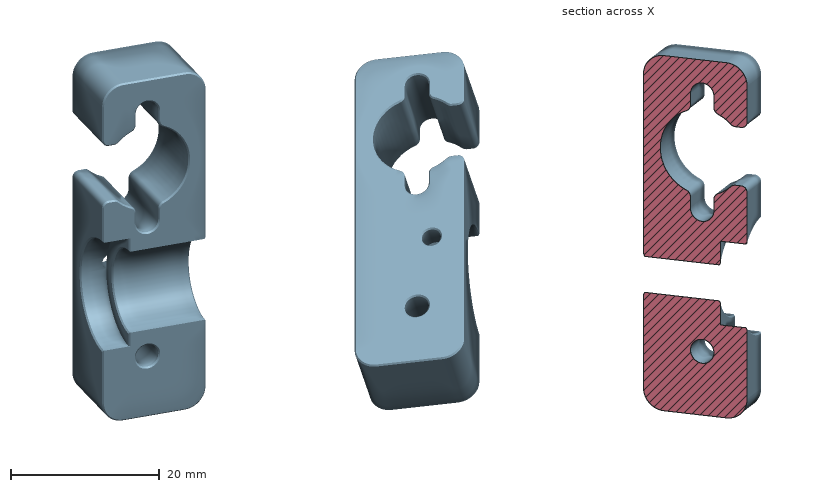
import cadquery as cq
import math

THICKNESS = 10.9
WIDTH = 15.0
HEIGHT = 50.0
CORNER_RADIUS = 3.0
EDGE_CHAMFER = 0.2

LEFT_FACE = -THICKNESS / 2
RIGHT_FACE = THICKNESS / 2
FRONT_FACE = -WIDTH / 2

CLIP_Y = -1.0
CLIP_Z = 37.0
CLIP_RADIUS = 6.0
MOUTH_WIDTH = 8.15
SLOT_WIDTH = 3.3
SLOT_TIP_SPAN = 19.4
LIP_RADIUS = 0.9
MOUTH_CORNER_RADIUS = 1.0
SLOT_EDGE_RADIUS = 1.0

BORE_Z = 18.9
BORE_RADIUS = 6.0
COUNTERBORE_RADIUS = 8.0
COUNTERBORE_DEPTH = 3.8

THROUGH_HOLE_Y = CLIP_Y
THROUGH_HOLE_Z = 9.0
THROUGH_HOLE_DIAMETER = 3.3
SIDE_HOLE_Y = -3.0
SIDE_HOLE_Z = 20.0
SIDE_HOLE_DIAMETER = 2.6


def x_cylinder(radius, y, z):
    """Cylinder along X that spans the block's thickness."""
    return cq.Workplane("YZ", origin=(LEFT_FACE, y, z)).circle(radius).extrude(THICKNESS)


def bore_cylinder(radius, depth):
    """Cylinder along Y that starts on the -Y face, centred on the +X face."""
    plane = cq.Plane(origin=(RIGHT_FACE, FRONT_FACE, BORE_Z), xDir=(1, 0, 0), normal=(0, 1, 0))
    return cq.Workplane(plane).circle(radius).extrude(depth)


def fillet_clip_edges(body, y, half_height, radius):
    """Round the X-parallel edges at the given Y, the same distance above and below the clip axis."""
    reach = 0.1
    for z in (CLIP_Z - half_height, CLIP_Z + half_height):
        window = cq.selectors.BoxSelector(
            (LEFT_FACE, y - reach, z - reach), (RIGHT_FACE, y + reach, z + reach)
        )
        body = body.edges(window).fillet(radius)
    return body


def make_block():
    block = cq.Workplane("XY").box(THICKNESS, WIDTH, HEIGHT, centered=(True, True, False))
    return block.edges("|X").fillet(CORNER_RADIUS)


def make_clip_opening():
    """Round opening with a slot above and below it and a mouth through the -Y face."""
    plane = cq.Workplane("YZ", origin=(LEFT_FACE, CLIP_Y, CLIP_Z))
    upright = 90
    slots = plane.slot2D(SLOT_TIP_SPAN, SLOT_WIDTH, upright).extrude(THICKNESS)
    mouth_length = CLIP_Y - FRONT_FACE
    mouth = plane.center(-mouth_length / 2, 0).rect(mouth_length, MOUTH_WIDTH).extrude(THICKNESS)
    return x_cylinder(CLIP_RADIUS, CLIP_Y, CLIP_Z).union(slots).union(mouth)


def round_clip_edges(body):
    half_mouth = MOUTH_WIDTH / 2
    mouth_corner_y = CLIP_Y - math.sqrt(CLIP_RADIUS**2 - half_mouth**2)
    body = fillet_clip_edges(body, FRONT_FACE, half_mouth, LIP_RADIUS)
    body = fillet_clip_edges(body, mouth_corner_y, half_mouth, MOUTH_CORNER_RADIUS)
    half_slot = SLOT_WIDTH / 2
    slot_corner_height = math.sqrt(CLIP_RADIUS**2 - half_slot**2)
    for y in (CLIP_Y - half_slot, CLIP_Y + half_slot):
        body = fillet_clip_edges(body, y, slot_corner_height, SLOT_EDGE_RADIUS)
    return body


def make_half_bore():
    bore = bore_cylinder(BORE_RADIUS, WIDTH)
    return bore.union(bore_cylinder(COUNTERBORE_RADIUS, COUNTERBORE_DEPTH))


def make_side_hole():
    """Hole from the -X face that ends on the counterbore's cylinder, extended along Y."""
    hole = x_cylinder(SIDE_HOLE_DIAMETER / 2, SIDE_HOLE_Y, SIDE_HOLE_Z)
    return hole.cut(bore_cylinder(COUNTERBORE_RADIUS, WIDTH))


def chamfer_bore_rims(body):
    """Bevel the bore's mouths on both Y faces and the exposed rim of the counterbore's floor."""
    land_y = FRONT_FACE + COUNTERBORE_DEPTH
    land_reach_x = (BORE_RADIUS + COUNTERBORE_RADIUS) / 2
    land_reach_z = COUNTERBORE_RADIUS + EDGE_CHAMFER
    land_rim = cq.selectors.BoxSelector(
        (RIGHT_FACE - land_reach_x, land_y - EDGE_CHAMFER, BORE_Z - land_reach_z),
        (RIGHT_FACE + EDGE_CHAMFER, land_y + EDGE_CHAMFER, BORE_Z + land_reach_z),
        boundingbox=True,
    )
    body = body.edges(land_rim).chamfer(EDGE_CHAMFER)
    return body.faces("<Y or >Y").edges("%CIRCLE").chamfer(EDGE_CHAMFER)


result = round_clip_edges(make_block().cut(make_clip_opening()))
result = result.cut(x_cylinder(THROUGH_HOLE_DIAMETER / 2, THROUGH_HOLE_Y, THROUGH_HOLE_Z))
result = result.cut(make_side_hole())
result = result.faces("<X or >X").edges().chamfer(EDGE_CHAMFER)
result = chamfer_bore_rims(result.cut(make_half_bore()))